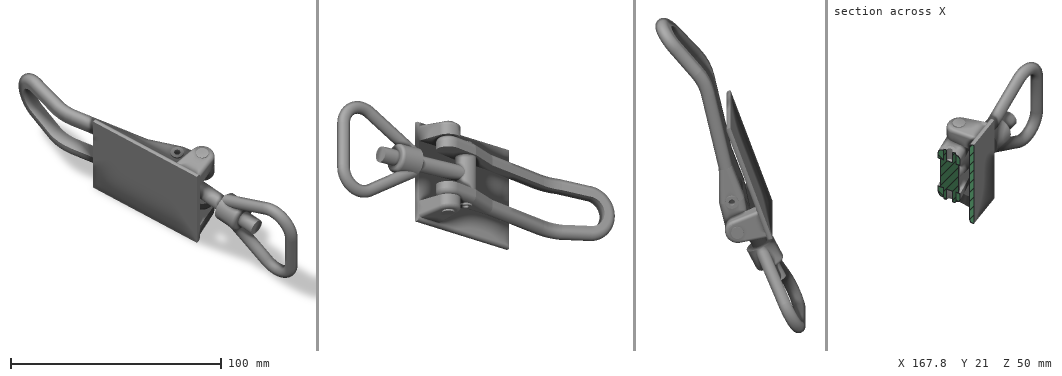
import cadquery as cq
import math


PLATE_LENGTH = 59.9
PLATE_WIDTH = 50.0
PLATE_THICKNESS = 2.5
PLATE_ROUND = 1.5
PIVOT_X = 106.2
PIVOT_Y = 15.1
EAR_TOP_RADIUS = 5.9
EAR_INNER_Z = 15.1
EAR_OUTER_Z = PLATE_WIDTH / 2 - PLATE_ROUND
EAR_DRAFT = 5.5
EAR_ROUND = 1.7
EAR_DRAFT_SLOPE = math.tan(math.radians(EAR_DRAFT))
EAR_FOOT_HALF = EAR_TOP_RADIUS / math.cos(math.radians(EAR_DRAFT)) + PIVOT_Y * EAR_DRAFT_SLOPE
PLATE_END_X = PIVOT_X + EAR_FOOT_HALF

PIN_RADIUS = 3.0
PIN_END_Z = 22.6

TILT = 6.9
ARM_INNER_Z = 8.7
ARM_ROUND = 3.2
ARM_WIDTH = 2 * ARM_ROUND
ARM_OUTER_Z = ARM_INNER_Z + ARM_WIDTH
BEND_X = 32.4
BEND_Y = 5.4
BEND_RADIUS = 25.2
GRIP_ANGLE = 21.0
GRIP_LENGTH = 20.8
GRIP_INNER_Z = 7.4
HEAD_START = 44.5
HEAD_END_RADIUS = EAR_TOP_RADIUS
HEAD_ROUND = 3.0
HEAD_TOP = (92.3, 19.5)
HEAD_BOTTOM = (94.0, 7.4)
HEAD_TOP_SLOPE = 7.0
HEAD_BOTTOM_SLOPE = 9.0

TRUNNION_X = 93.1
TRUNNION_Y = 13.3
TRUNNION_RADIUS = 3.2
TRUNNION_END_Z = 16.0
TRUNNION_HOLE_RADIUS = 1.5
TRUNNION_HOLE_DEPTH = 6.7
BARREL_RADIUS = 5.0
ROD_RADIUS = 3.9
ROD_LENGTH = 50.2
COLLAR_RADIUS = 7.0
COLLAR_START = 30.0
COLLAR_LENGTH = 11.7
COLLAR_ROUND = 1.5
WIRE_RADIUS = 3.0
BAIL_BAR = 72.1
BAIL_BEND_RADIUS = 10.2
BAIL_BEND_Z = 10.7
BAIL_ARM_ANGLE = 30.0


def along(point, angle, distance):
    """Point of a plane at a distance from another one, in the direction of an angle in degrees."""
    turn = math.radians(angle)
    return (point[0] + distance * math.cos(turn), point[1] + distance * math.sin(turn))


def z_cylinder(x, y, radius, start_z, end_z):
    return cq.Workplane("XY", origin=(x, y, start_z)).circle(radius).extrude(end_z - start_z)


def both_sides(shape):
    """The shape joined to its mirror image across Z = 0."""
    return shape.union(shape.mirror("XY"))


def make_plate():
    plate = cq.Workplane("XY").box(
        PLATE_LENGTH, PLATE_THICKNESS, PLATE_WIDTH, centered=(False, False, True)
    ).translate((PLATE_END_X - PLATE_LENGTH, 0, 0))
    rounded_edges = cq.selectors.SumSelector(
        cq.StringSyntaxSelector(">Y and |X"), cq.StringSyntaxSelector(">Y and <X")
    )
    return plate.edges(rounded_edges).fillet(PLATE_ROUND)


def make_ear():
    """Ear on the +Z side: flat inside, drafted on its other sides, with a round top about the pivot."""
    pivot = (PIVOT_X, PIVOT_Y)
    ear = (
        cq.Workplane("XY", origin=(0, 0, EAR_INNER_Z))
        .moveTo(PIVOT_X - EAR_FOOT_HALF, 0)
        .lineTo(*along(pivot, 180 - EAR_DRAFT, EAR_TOP_RADIUS))
        .threePointArc((PIVOT_X, PIVOT_Y + EAR_TOP_RADIUS), along(pivot, EAR_DRAFT, EAR_TOP_RADIUS))
        .lineTo(PIVOT_X + EAR_FOOT_HALF, 0)
        .close()
        .extrude(EAR_OUTER_Z - EAR_INNER_Z)
    )
    height = PIVOT_Y + EAR_TOP_RADIUS
    draft_wedge = (
        cq.Workplane("YZ", origin=(PIVOT_X - EAR_FOOT_HALF, 0, 0))
        .moveTo(0, EAR_OUTER_Z)
        .lineTo(height, EAR_OUTER_Z)
        .lineTo(height, EAR_OUTER_Z - height * EAR_DRAFT_SLOPE)
        .close()
        .extrude(2 * EAR_FOOT_HALF)
    )
    ear = ear.cut(draft_wedge)
    foot_edge = cq.selectors.NearestToPointSelector((PIVOT_X, 0, EAR_OUTER_Z))
    outer_edges = ear.faces(">Z").edges(cq.selectors.InverseSelector(foot_edge))
    return outer_edges.fillet(EAR_ROUND)


def make_base():
    base = make_plate().union(both_sides(make_ear()))
    pin_bore = z_cylinder(PIVOT_X, PIVOT_Y, PIN_RADIUS, -PLATE_WIDTH / 2, PLATE_WIDTH / 2)
    return base.cut(pin_bore)


def make_pin(side):
    """Pin from the inside of a handle arm out through the ear; side is the sign of its Z."""
    pin = z_cylinder(PIVOT_X, PIVOT_Y, PIN_RADIUS, ARM_INNER_Z, PIN_END_Z)
    return pin if side > 0 else pin.mirror("XY")


def arm_section(point, direction, inner_z):
    """D section of the +Z arm across a direction in XY: flat inside, half round outside.

    Its local X is the part's Z, and its local Y points down.
    """
    turn = math.radians(direction)
    plane = cq.Plane(
        origin=(point[0], point[1], 0),
        xDir=(0, 0, 1),
        normal=(math.cos(turn), math.sin(turn), 0),
    )
    flat_end_z = inner_z + ARM_WIDTH - ARM_ROUND
    return (
        cq.Workplane(plane)
        .moveTo(inner_z, -ARM_ROUND)
        .lineTo(flat_end_z, -ARM_ROUND)
        .threePointArc((flat_end_z + ARM_ROUND, 0), (flat_end_z, ARM_ROUND))
        .lineTo(inner_z, ARM_ROUND)
        .close()
    )


def make_head():
    """Tapered end of the +Z arm, rounded about the pivot and along its outer edges."""
    start = along((BEND_X, BEND_Y), TILT, HEAD_START)
    top_tangent = along((PIVOT_X, PIVOT_Y), 90 + HEAD_TOP_SLOPE, HEAD_END_RADIUS)
    bottom_tangent = along((PIVOT_X, PIVOT_Y), HEAD_BOTTOM_SLOPE - 90, HEAD_END_RADIUS)
    head = (
        cq.Workplane("XY", origin=(0, 0, ARM_INNER_Z))
        .moveTo(*along(start, TILT + 90, ARM_ROUND))
        .lineTo(*HEAD_TOP)
        .lineTo(*top_tangent)
        .threePointArc((PIVOT_X + HEAD_END_RADIUS, PIVOT_Y), bottom_tangent)
        .lineTo(*HEAD_BOTTOM)
        .lineTo(*along(start, TILT - 90, ARM_ROUND))
        .close()
        .extrude(ARM_WIDTH)
    )
    start_edge = cq.selectors.NearestToPointSelector((*start, ARM_OUTER_Z))
    return head.faces(">Z").edges(cq.selectors.InverseSelector(start_edge)).fillet(HEAD_ROUND)


def make_handle():
    corner = (BEND_X, BEND_Y)
    grip_direction = 180 - GRIP_ANGLE
    section_direction = -GRIP_ANGLE
    bend_angle = TILT + GRIP_ANGLE
    tangent_length = BEND_RADIUS * math.tan(math.radians(bend_angle / 2))
    bend_start = along(corner, TILT, tangent_length)
    bend_end = along(corner, grip_direction, tangent_length)
    bow_center = along(corner, grip_direction, GRIP_LENGTH)

    straight = arm_section(bend_start, TILT, ARM_INNER_Z).extrude(HEAD_START - tangent_length)
    bend = arm_section(bend_start, TILT, ARM_INNER_Z).revolve(
        bend_angle, (0, -BEND_RADIUS, 0), (-1, -BEND_RADIUS, 0)
    )
    grip_ends = [
        arm_section(bend_end, section_direction, ARM_INNER_Z).wires().val(),
        arm_section(bow_center, section_direction, GRIP_INNER_Z).wires().val(),
    ]
    grip = cq.Workplane(cq.Solid.makeLoft(grip_ends, True))
    half_bow = arm_section(bow_center, section_direction, GRIP_INNER_Z).revolve(
        90, (0, 0, 0), (0, 1, 0)
    )

    side = straight.union(bend).union(grip).union(half_bow).union(make_head())
    side = side.cut(z_cylinder(PIVOT_X, PIVOT_Y, PIN_RADIUS, 0, ARM_OUTER_Z))
    side = side.cut(z_cylinder(TRUNNION_X, TRUNNION_Y, TRUNNION_RADIUS, 0, ARM_OUTER_Z))
    return both_sides(side)


def make_trunnion():
    """Cross shaft with a thicker barrel between the handle arms and a blind hole in each end."""
    trunnion = z_cylinder(0, 0, TRUNNION_RADIUS, -TRUNNION_END_Z, TRUNNION_END_Z)
    trunnion = trunnion.union(z_cylinder(0, 0, BARREL_RADIUS, -ARM_INNER_Z, ARM_INNER_Z))
    hole = z_cylinder(
        0, 0, TRUNNION_HOLE_RADIUS, TRUNNION_END_Z - TRUNNION_HOLE_DEPTH, TRUNNION_END_Z
    )
    return trunnion.cut(both_sides(hole))


def make_collar():
    collar = cq.Workplane("YZ", origin=(COLLAR_START, 0, 0)).circle(COLLAR_RADIUS).extrude(COLLAR_LENGTH)
    return collar.faces(">X").edges().fillet(COLLAR_ROUND)


def make_bail():
    """Triangular wire loop, cut off level with the start of the collar."""
    bend_x = BAIL_BAR - BAIL_BEND_RADIUS
    bend_center = (bend_x, BAIL_BEND_Z)
    arm_end = along(bend_center, 90 + BAIL_ARM_ANGLE, BAIL_BEND_RADIUS)
    bend_middle = along(bend_center, (90 + BAIL_ARM_ANGLE) / 2, BAIL_BEND_RADIUS)
    axis_x = arm_end[0] - arm_end[1] / math.tan(math.radians(BAIL_ARM_ANGLE))
    path = (
        cq.Workplane("XZ")
        .moveTo(BAIL_BAR, 0)
        .lineTo(BAIL_BAR, BAIL_BEND_Z)
        .threePointArc(bend_middle, arm_end)
        .lineTo(axis_x, 0)
    )
    half_bail = cq.Workplane("XY", origin=(BAIL_BAR, 0, 0)).circle(WIRE_RADIUS).sweep(path)
    trim = cq.Workplane("XY").box(
        COLLAR_START, 2 * COLLAR_RADIUS, PLATE_WIDTH, centered=(False, True, True)
    )
    return both_sides(half_bail.cut(trim))


def make_draw_bar():
    rod = cq.Workplane("YZ").circle(ROD_RADIUS).extrude(ROD_LENGTH)
    bar = make_trunnion().union(rod).union(make_collar()).union(make_bail())
    return bar.rotate((0, 0, 0), (0, 0, 1), -TILT).translate((TRUNNION_X, TRUNNION_Y, 0))


base = make_base()
handle = make_handle()
draw_bar = make_draw_bar()
pins = [make_pin(side) for side in (1, -1)]

result = cq.Compound.makeCompound(
    [base.val(), handle.val(), draw_bar.val(), *[pin.val() for pin in pins]]
)